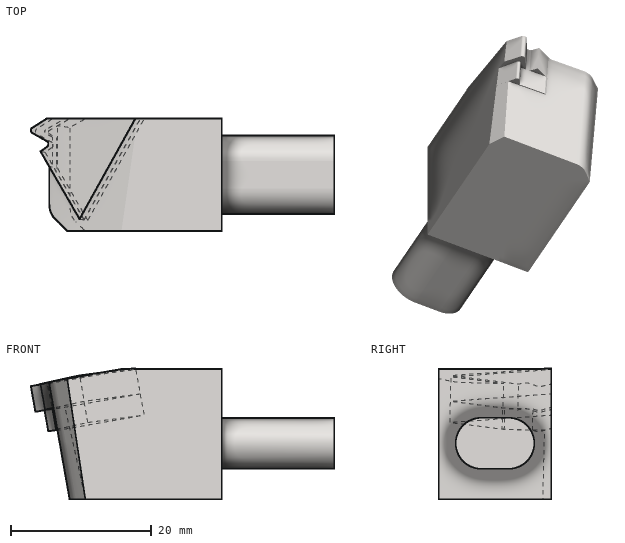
import cadquery as cq
import math

block_end = 27.3
block_width = 16.08
block_height = 18.65
half_width = block_width / 2

shank_end = 43.35
shank_width = 11.22
shank_thickness = 7.3
shank_center_z = 8.0

top_slope = math.tan(math.radians(10))
ridge_x_back = 15.25
ridge_x_front = 12.95
ridge_skew = (ridge_x_back - ridge_x_front) / block_width
slope_normal = cq.Vector(-top_slope, top_slope * ridge_skew, 1).normalized()

nose_x = 2.65
nose_chamfer = 2.55
nose_fillet = 2.77
relief_y = 7.2
relief_angle = math.radians(30)

insert_rise = 0.19
insert_thickness = 3.73
shim_thickness = 3.08
pocket_corner = (6.955, -6.33)
pocket_back_x = 14.927
flank_slope = math.tan(math.radians(60))

tip_y = 6.33
tip_radius = 0.45
tip_flank_end = 2.3
notch_x = 2.45
notch_top = 4.7
notch_bottom = 4.1
notch_fillet = 0.2
notch_mouth_x = 1.4

shim_tip_x = 1.35
shim_tip_y = 6.3
shim_tip_radius = 0.3
shim_front_x = 2.45

overrun = 0.85
reach = 26.0


def on_slope(point, rise=0.0):
    """Lift a plan point onto the sloping top, or onto a parallel plane above it."""
    x, y = point
    ridge_x = ridge_x_back + ridge_skew * (y - half_width)
    return cq.Vector(x, y, block_height + rise - top_slope * (ridge_x - x))


def slope_prism(edges, depth):
    """Extrude a closed outline square to the sloping top, downwards."""
    wire = cq.Wire.assembleEdges(edges)
    return cq.Workplane(cq.Solid.extrudeLinear(wire, [], slope_normal * -depth))


def path_edges(points, rise=0.0):
    lifted = [on_slope(point, rise) for point in points]
    return [cq.Edge.makeLine(a, b) for a, b in zip(lifted, lifted[1:])]


def arc_edge(start, middle, end, rise=0.0):
    return cq.Edge.makeThreePointArc(*[on_slope(point, rise) for point in (start, middle, end)])


def extend_line(start, end, y):
    """Point at the given Y on the line through two plan points."""
    part = (y - start[1]) / (end[1] - start[1])
    return (start[0] + part * (end[0] - start[0]), y)


def flank_y(x):
    """Y of the -X wall of the pocket at the given X."""
    return pocket_corner[1] + flank_slope * (pocket_corner[0] - x)


def trimming_slab():
    """Slab as wide as the block, used to trim bodies flush with its sides."""
    return cq.Workplane("XY").box(shank_end, block_width, reach, centered=(False, True, False))


def make_tip(x, y, radius):
    """Plan points of a rounded tip whose flanks lean 30 degrees from X."""
    flank_x = x + radius * (1 - math.sin(relief_angle))
    offset = radius * math.cos(relief_angle)
    return (flank_x, y + offset), (x, y), (flank_x, y - offset)


pocket_back = extend_line(pocket_corner, (pocket_back_x, half_width), half_width + overrun)


def make_insert():
    upper, middle, lower = make_tip(0, tip_y, tip_radius)
    flank_end = extend_line(upper, (tip_flank_end, half_width), half_width + overrun)
    outline = [
        lower,
        (notch_x, notch_top),
        (notch_x, notch_bottom),
        (notch_mouth_x, flank_y(notch_mouth_x)),
        pocket_corner,
        pocket_back,
        flank_end,
        upper,
    ]
    edges = path_edges(outline, insert_rise)
    edges.append(arc_edge(upper, middle, lower, insert_rise))
    blank = slope_prism(edges, insert_thickness).intersect(trimming_slab())

    middle_shift = slope_normal * (-insert_thickness / 2)
    for corner_y in (notch_top, notch_bottom):
        root = on_slope((notch_x, corner_y), insert_rise) + middle_shift
        blank = blank.edges(cq.selectors.NearestToPointSelector(root.toTuple())).fillet(notch_fillet)
    return blank


def make_shim():
    seat_depth = insert_thickness - insert_rise * slope_normal.z

    upper, middle, lower = make_tip(shim_tip_x, shim_tip_y, shim_tip_radius)
    front_top = lower[1] - (shim_front_x - lower[0]) * math.tan(relief_angle)
    flank_end_y = half_width + overrun
    flank_end = (upper[0] + (flank_end_y - upper[1]) / math.tan(relief_angle), flank_end_y)
    outline = [
        lower,
        (shim_front_x, front_top),
        (shim_front_x, flank_y(shim_front_x)),
        pocket_corner,
        pocket_back,
        flank_end,
        upper,
    ]
    edges = path_edges(outline)
    edges.append(arc_edge(upper, middle, lower))
    full_column = slope_prism(edges, seat_depth + shim_thickness)
    above = slope_prism(edges, seat_depth)
    return full_column.cut(above).intersect(trimming_slab())


def make_holder():
    chamfer_x = nose_x + nose_chamfer
    chamfer_y = nose_chamfer - half_width
    arc_turn = math.radians(45) / 2
    tangent = nose_fillet * math.tan(arc_turn)
    diagonal = tangent * math.cos(math.radians(45))
    arc_start = (nose_x, chamfer_y + tangent)
    arc_end = (nose_x + diagonal, chamfer_y - diagonal)
    arc_middle = (
        nose_x + nose_fillet * (1 - math.cos(arc_turn)),
        arc_start[1] - nose_fillet * math.sin(arc_turn),
    )
    back_y = half_width + overrun
    relief_end_x = nose_x + (back_y - relief_y) / math.tan(relief_angle)
    outline = [
        arc_end,
        (chamfer_x + overrun, -half_width - overrun),
        (shank_end, -half_width - overrun),
        (shank_end, back_y),
        (relief_end_x, back_y),
        (nose_x, relief_y),
        arc_start,
    ]
    edges = path_edges(outline)
    edges.append(arc_edge(arc_start, arc_middle, arc_end))
    limits = cq.Workplane("XY").box(block_end, block_width, block_height, centered=(False, True, False))
    head = slope_prism(edges, 2 * reach).intersect(limits)
    shank = (
        cq.Workplane("YZ", origin=(block_end, 0, shank_center_z))
        .slot2D(shank_width, shank_thickness)
        .extrude(shank_end - block_end)
    )
    return head.union(shank)


insert = make_insert()
shim = make_shim()
holder = make_holder().cut(insert).cut(shim)

bodies = [holder, insert, shim]
result = cq.Compound.makeCompound([body.solids().val() for body in bodies])